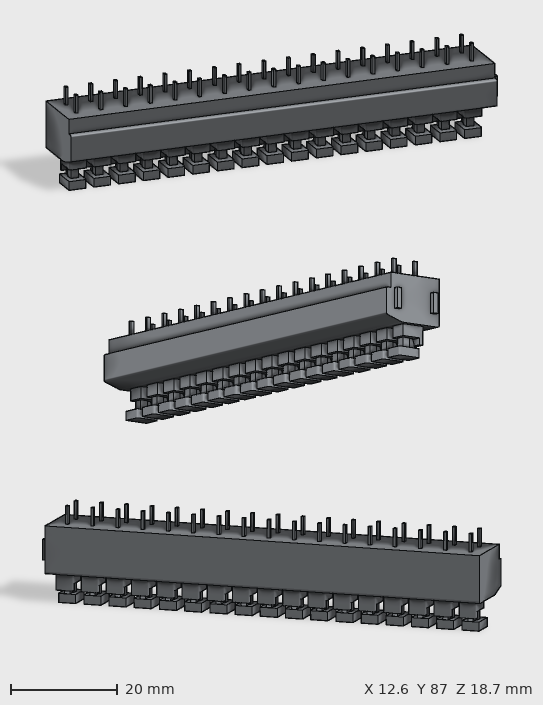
import cadquery as cq


body_width = 12.6
body_length = 86.1
body_height = 9.2
ledge_width = 1.1
ledge_height = 6.35
underside_width = 8.9
slope_rise = 1.1
corner_radius = 0.4

contact_count = 17
contact_row_length = 79.95
contact_pitch = contact_row_length / (contact_count - 1)

pin_first_x = 3.2
pin_columns = (pin_first_x, pin_first_x + contact_pitch)
pin_first_y = 2.8
pin_width = 0.8
pin_thickness = 0.5
pin_height = 3.5

rib_lefts = (1.05, 9.7)
rib_width = 1.05
rib_depth = 0.9
rib_bottom = 2.4
rib_height = 3.9

guide_left = 3.05
guide_width = 4.7
guide_front_y = 1.65
guide_length = 3.4
guide_depth = 2.3
guide_wall = 0.8
guide_wall_depth = 3.6
guide_radius = 0.35

button_left = 3.6
button_width = 4.9
button_length = 3.5
button_bottom = -6.0
button_height = 1.7
button_radius = 0.35
button_center_y = 3.05

button_top = button_bottom + button_height
stem_middle = 5.3
stem_right = 6.9
stem_wide = 1.6
stem_narrow = 1.05
stem_foot_left = 3.7
stem_head_left = 4.35


def box(x, y, z, width, length, height):
    """Box grown in +X, +Y and +Z from its lowest corner."""
    return cq.Workplane("XY").box(width, length, height, centered=False).translate((x, y, z))


def extrude_side_profile(profile, start_y, length):
    """Extrude a closed XZ outline along +Y from start_y."""
    return profile.extrude(-length).translate((0, start_y, 0))


def make_body():
    outline = (
        cq.Workplane("XZ")
        .moveTo(0, 0)
        .lineTo(underside_width, 0)
        .lineTo(body_width, slope_rise)
        .lineTo(body_width, ledge_height)
        .lineTo(body_width - ledge_width, ledge_height)
        .lineTo(body_width - ledge_width, body_height)
        .lineTo(0, body_height)
        .close()
    )
    block = extrude_side_profile(outline, 0, body_length)
    rounded_corners = ((0, 0), (body_width, slope_rise), (body_width, ledge_height))
    for x, z in rounded_corners:
        edge = cq.selectors.NearestToPointSelector((x, body_length / 2, z))
        block = block.edges("|Y").edges(edge).fillet(corner_radius)
    return block


def make_pin(x):
    return box(
        x - pin_width / 2, pin_first_y - pin_thickness / 2, body_height,
        pin_width, pin_thickness, pin_height,
    )


def make_guide():
    """Block with rounded front corners whose left wall hangs lower than the rest."""
    guide = box(
        guide_left, guide_front_y, -guide_wall_depth,
        guide_width, guide_length, guide_wall_depth,
    ).edges("|Z and <Y").fillet(guide_radius)
    relief = box(
        guide_left + guide_wall, guide_front_y, -guide_wall_depth,
        guide_width - guide_wall, guide_length, guide_wall_depth - guide_depth,
    )
    return guide.cut(relief)


def make_button():
    button = box(
        button_left, button_center_y - button_length / 2, button_bottom,
        button_width, button_length, button_height,
    )
    return button.edges("|Z and >Y").fillet(button_radius)


def make_stem():
    wide_half = box(
        stem_middle, button_center_y - stem_wide / 2, button_top,
        stem_right - stem_middle, stem_wide, -guide_depth - button_top,
    )
    narrow_outline = (
        cq.Workplane("XZ")
        .moveTo(stem_foot_left, button_top)
        .lineTo(stem_middle, button_top)
        .lineTo(stem_middle, -guide_depth)
        .lineTo(stem_head_left, -guide_depth)
        .close()
    )
    narrow_half = extrude_side_profile(narrow_outline, button_center_y - stem_narrow / 2, stem_narrow)
    return wide_half.union(narrow_half)


result = make_body()

for rib_left in rib_lefts:
    result = result.union(box(rib_left, body_length, rib_bottom, rib_width, rib_depth, rib_height))

underside_parts = make_guide().union(make_stem()).union(make_button()).val()
contact_solids = [underside_parts] + [make_pin(x).val() for x in pin_columns]
contact_origins = [(0, index * contact_pitch) for index in range(contact_count)]
for solid in contact_solids:
    row = cq.Workplane("XY").pushPoints(contact_origins).eachpoint(lambda place: solid.moved(place))
    result = result.union(row)